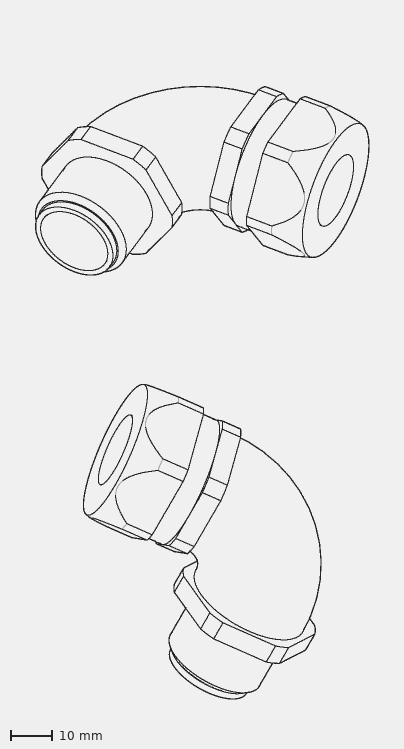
import cadquery as cq
import math

BEND_RADIUS = 22.95
TUBE_DIAMETER = 30.0
BORE_DIAMETER = 18.5

FLANGE_FLATS = 33
FLANGE_CORNERS = 35.95
FLANGE_THICKNESS = 5.0

SPIGOT_DIAMETER = 25.0
SPIGOT_CHAMFER = 1.45
TIP_DIAMETER = 21.3
TIP_LENGTH = 2

COLLAR_DIAMETER = 33
COLLAR_LENGTH = 5.8
NUT_FLATS = 35
NUT_CORNERS = 38.75
NUT_END_DIAMETER = 34.6
NUT_TAPER_LENGTH = 7.3

OVERALL_X = 66
OVERALL_Y = 64.35

outlet_end = OVERALL_X - FLANGE_CORNERS / 2
inlet_end = OVERALL_Y - NUT_CORNERS / 2
flange_end = BEND_RADIUS + FLANGE_THICKNESS
nut_start = flange_end + COLLAR_LENGTH
spigot_length = inlet_end - TIP_LENGTH - flange_end


def outlet_plane(distance):
    """Plane across the outlet axis, facing +X."""
    return cq.Workplane("YZ", origin=(distance, 0, 0))


def inlet_plane(distance):
    """Plane across the inlet axis, facing -Y."""
    return cq.Workplane("XZ", origin=(0, -distance, 0))


def rounded_hexagon(plane, flats, corners, length):
    """Hexagonal prism with its corners turned down to a cylinder."""
    hexagon = plane.polygon(6, flats / math.cos(math.pi / 6)).extrude(length)
    return hexagon.intersect(plane.circle(corners / 2).extrude(length))


def bend(diameter):
    """Quarter torus joining the inlet to the outlet."""
    return (
        inlet_plane(BEND_RADIUS)
        .circle(diameter / 2)
        .revolve(90, (BEND_RADIUS, 0), (BEND_RADIUS, -1))
    )


def spigot():
    body = (
        inlet_plane(flange_end)
        .circle(SPIGOT_DIAMETER / 2)
        .extrude(spigot_length)
        .faces("<Y")
        .chamfer(SPIGOT_CHAMFER)
    )
    tip = inlet_plane(inlet_end - TIP_LENGTH).circle(TIP_DIAMETER / 2).extrude(TIP_LENGTH)
    return body.union(tip)


def gland_nut():
    """Hexagonal nut with a conical outer end."""
    hexagon = rounded_hexagon(
        outlet_plane(nut_start), NUT_FLATS, NUT_CORNERS, outlet_end - nut_start
    )
    taper_start = outlet_end - NUT_TAPER_LENGTH
    turned_profile = (
        cq.Workplane("XY")
        .moveTo(nut_start, 0)
        .lineTo(nut_start, NUT_CORNERS / 2)
        .lineTo(taper_start, NUT_CORNERS / 2)
        .lineTo(outlet_end, NUT_END_DIAMETER / 2)
        .lineTo(outlet_end, 0)
        .close()
    )
    return hexagon.intersect(turned_profile.revolve(360, (0, 0), (1, 0)))


def inlet_fitting():
    """Flange and spigot, bored through along the inlet axis."""
    flange = rounded_hexagon(
        inlet_plane(BEND_RADIUS), FLANGE_FLATS, FLANGE_CORNERS, FLANGE_THICKNESS
    )
    bore = inlet_plane(BEND_RADIUS).circle(BORE_DIAMETER / 2).extrude(inlet_end - BEND_RADIUS)
    return flange.union(spigot()).cut(bore)


def outlet_fitting():
    """Flange, collar and nut, bored through along the outlet axis."""
    flange = rounded_hexagon(
        outlet_plane(BEND_RADIUS), FLANGE_FLATS, FLANGE_CORNERS, FLANGE_THICKNESS
    )
    collar = outlet_plane(flange_end).circle(COLLAR_DIAMETER / 2).extrude(COLLAR_LENGTH)
    bore = outlet_plane(BEND_RADIUS).circle(BORE_DIAMETER / 2).extrude(outlet_end - BEND_RADIUS)
    return flange.union(collar).union(gland_nut()).cut(bore)


def hollow_bend():
    return bend(TUBE_DIAMETER).cut(bend(BORE_DIAMETER))


result = hollow_bend().union(inlet_fitting()).union(outlet_fitting())